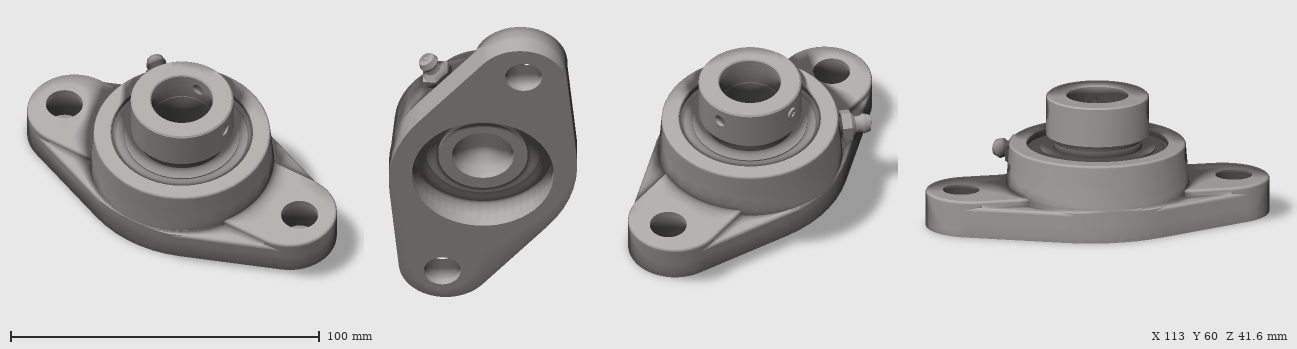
import cadquery as cq
import math

flange_length = 113.0
flange_width = 60.0
bolt_spacing = 90.0
bolt_hole_diameter = 12.0
plate_height = 10.0
pad_height = 12.0
end_radius = 15.3
side_radius = 42.0
plate_edge_fillet = 1.0
pad_edge_fillet = 0.9
pad_foot_fillet = 1.05

hub_height = 25.5
hub_foot_radius = 29.97
hub_top_radius = 28.6
hub_foot_fillet = 0.9
hub_edge_fillet = 0.8
hub_bore_diameter = 45.97
hub_bore_chamfer = 0.3

bearing_center_height = 17.5
seat_diameter = 48.0
outer_ring_half_width = 5.5
seal_outer_diameter = 43.6
seal_crown_diameter = 42.4
seal_height = 1.8
seal_rise = 0.4
inner_ring_flange_diameter = 37.21
inner_ring_flange_half_width = 6.35
inner_ring_flange_slope = 0.3
shoulder_diameter = 28.96
shoulder_half_width = 8.65
neck_diameter = 27.94
spigot_diameter = 25.91
shaft_diameter = 20.0
spigot_chamfer = 0.3

collar_diameter = 33.3
collar_bottom = 28.05
collar_top = 41.61
collar_chamfer = 0.5
collar_bore_chamfer = 0.4
spigot_top = 31.7
screw_height = 36.6
screw_diameter = 4.13
screw_inner_end = 14.0
screw_outer_end = 17.35
socket_width = 1.6
socket_depth = 1.5
drift_hole_diameter = 4.13
drift_hole_depth = 3.0

nipple_angle = 135.0
stem_diameter = 6.0
stem_inner_end = 26.0
hex_inner_end = 29.87
hex_outer_end = 33.0
hex_width = 9.0
cone_base_diameter = 8.6
cone_tip_diameter = 5.5
cone_end = 34.4
neck_start = 35.0
nipple_neck_diameter = 5.3
neck_end = 36.0
head_diameter = 6.6
head_widest = 37.3
tip_diameter = 5.3
tip_end = 39.3
ball_diameter = 2.01
ball_protrusion = 0.6


def revolved(points):
    """Solid of revolution about Z from an outline of (radius, height) points."""
    return cq.Workplane("XZ").polyline(points).close().revolve(360, (0, 0), (0, 1))


def cylinder(diameter, bottom, top):
    return cq.Workplane("XY").workplane(offset=bottom).circle(diameter / 2).extrude(top - bottom)


def radial(shape, angle, height):
    """Lay a shape built along Z out along a horizontal radius at the given angle."""
    lying = shape.rotate((0, 0, 0), (0, 1, 0), 90)
    return lying.rotate((0, 0, 0), (0, 0, 1), angle).translate((0, 0, height))


def seat_ball():
    return cq.Workplane("XY").sphere(seat_diameter / 2).translate((0, 0, bearing_center_height))


def flange_column(height):
    """Rhombic outline: two large side arcs joined to two end arcs by tangent lines."""
    end_center = flange_length / 2 - end_radius
    side_center = side_radius - flange_width / 2
    tilt = math.asin((side_radius - end_radius) / math.hypot(end_center, side_center))
    tilt -= math.atan2(side_center, end_center)
    side_x = side_radius * math.sin(tilt)
    side_y = side_radius * math.cos(tilt) - side_center
    end_x = end_center + end_radius * math.sin(tilt)
    end_y = end_radius * math.cos(tilt)
    outline = (
        cq.Workplane("XY")
        .moveTo(-side_x, side_y)
        .threePointArc((0, flange_width / 2), (side_x, side_y))
        .lineTo(end_x, end_y)
        .threePointArc((flange_length / 2, 0), (end_x, -end_y))
        .lineTo(side_x, -side_y)
        .threePointArc((0, -flange_width / 2), (-side_x, -side_y))
        .lineTo(-end_x, -end_y)
        .threePointArc((-flange_length / 2, 0), (-end_x, end_y))
        .close()
    )
    return outline.extrude(height)


def flange_plate():
    return flange_column(plate_height).faces(">Z").edges().fillet(plate_edge_fillet)


def raised_pad():
    """Straight-sided pad whose round ends coincide with the ends of the plate."""
    pad = cq.Workplane("XY").slot2D(flange_length, 2 * end_radius).extrude(pad_height)
    return pad.faces(">Z").edges().fillet(pad_edge_fillet)


def pad_foot():
    """Concave fillets that run along both straight sides of the pad."""
    foot_y = end_radius + pad_foot_fillet
    foot_z = plate_height + pad_foot_fillet
    arc_offset = pad_foot_fillet * (1 - math.sqrt(0.5))
    straight_length = flange_length - 2 * end_radius
    section = (
        cq.Workplane("YZ")
        .moveTo(0, plate_height)
        .lineTo(foot_y, plate_height)
        .threePointArc((end_radius + arc_offset, plate_height + arc_offset), (end_radius, foot_z))
        .lineTo(0, foot_z)
        .close()
    )
    foot = section.extrude(straight_length / 2, both=True)
    return foot.union(foot.mirror("XZ"))


def hub():
    cone = revolved([
        (0, 0),
        (hub_foot_radius, 0),
        (hub_foot_radius, plate_height),
        (hub_top_radius, hub_height),
        (0, hub_height),
    ])
    return cone.faces(">Z").edges().fillet(hub_edge_fillet)


def hub_foot():
    """Concave foot around the -Y half of the hub, trimmed to the flange outline."""
    inner_radius = hub_bore_diameter / 2
    outer_radius = hub_foot_radius + hub_foot_fillet
    foot_z = plate_height + hub_foot_fillet
    arc_offset = hub_foot_fillet * (1 - math.sqrt(0.5))
    profile = (
        cq.Workplane("XZ")
        .moveTo(inner_radius, 0)
        .lineTo(outer_radius, 0)
        .lineTo(outer_radius, plate_height)
        .threePointArc((hub_foot_radius + arc_offset, plate_height + arc_offset), (hub_foot_radius, foot_z))
        .lineTo(inner_radius, foot_z)
        .close()
    )
    front_half = cq.Workplane("XY").rect(flange_length, flange_width).extrude(foot_z)
    front_half = front_half.translate((0, -flange_width / 2, 0))
    foot = profile.revolve(360, (0, 0), (0, 1))
    return foot.intersect(front_half).intersect(flange_column(foot_z))


def make_housing():
    body = flange_plate()
    body = body.union(raised_pad()).union(pad_foot()).union(hub()).union(hub_foot())
    body = body.cut(cylinder(hub_bore_diameter, 0, hub_height))
    bore_edge = body.faces(">Z").edges(cq.selectors.RadiusNthSelector(0))
    body = bore_edge.chamfer(hub_bore_chamfer)
    body = body.cut(seat_ball())
    body = body.cut(radial(cylinder(stem_diameter, stem_inner_end, hex_outer_end),
                           nipple_angle, bearing_center_height))
    bolt_holes = (
        cq.Workplane("XY")
        .pushPoints([(-bolt_spacing / 2, 0), (bolt_spacing / 2, 0)])
        .circle(bolt_hole_diameter / 2)
        .extrude(pad_height)
    )
    return body.cut(bolt_holes)


outer_ring_bottom = bearing_center_height - outer_ring_half_width
outer_ring_top = bearing_center_height + outer_ring_half_width


def make_outer_ring():
    ring = seat_ball().intersect(cylinder(seat_diameter, outer_ring_bottom, outer_ring_top))
    ring = ring.cut(cylinder(inner_ring_flange_diameter, outer_ring_bottom, outer_ring_top))
    return ring.cut(cylinder(seal_outer_diameter, outer_ring_top - seal_height, outer_ring_top))


def make_seal():
    return revolved([
        (inner_ring_flange_diameter / 2, outer_ring_top - seal_height),
        (seal_outer_diameter / 2, outer_ring_top - seal_height),
        (seal_outer_diameter / 2, outer_ring_top),
        (seal_crown_diameter / 2, outer_ring_top + seal_rise),
        (inner_ring_flange_diameter / 2, outer_ring_top + seal_rise),
    ])


def make_inner_ring():
    shoulder_bottom = bearing_center_height - shoulder_half_width
    shoulder_top = bearing_center_height + shoulder_half_width
    flange_bottom = bearing_center_height - inner_ring_flange_half_width
    flange_top = bearing_center_height + inner_ring_flange_half_width
    bore = shaft_diameter / 2
    return revolved([
        (bore, shoulder_bottom),
        (shoulder_diameter / 2, shoulder_bottom),
        (shoulder_diameter / 2, flange_bottom - inner_ring_flange_slope),
        (inner_ring_flange_diameter / 2, flange_bottom),
        (inner_ring_flange_diameter / 2, flange_top),
        (shoulder_diameter / 2, flange_top + inner_ring_flange_slope),
        (shoulder_diameter / 2, shoulder_top),
        (neck_diameter / 2, shoulder_top),
        (neck_diameter / 2, collar_bottom),
        (spigot_diameter / 2, collar_bottom),
        (spigot_diameter / 2, spigot_top),
        (bore + spigot_chamfer, spigot_top),
        (bore, spigot_top - spigot_chamfer),
    ])


def make_collar():
    collar = cylinder(collar_diameter, collar_bottom, collar_top).edges().chamfer(collar_chamfer)
    collar = collar.cut(cylinder(shaft_diameter, collar_bottom, collar_top))
    bore_edge = collar.faces(">Z").edges(cq.selectors.RadiusNthSelector(0))
    collar = bore_edge.chamfer(collar_bore_chamfer)
    collar = collar.cut(cylinder(spigot_diameter, collar_bottom, spigot_top))
    collar = collar.cut(radial(cylinder(screw_diameter, 0, collar_diameter), 90, screw_height))
    drift_hole_bottom = collar_diameter / 2 - drift_hole_depth
    drift_hole = cylinder(drift_hole_diameter, drift_hole_bottom, collar_diameter)
    return collar.cut(radial(drift_hole, 0, screw_height))


def make_set_screw():
    screw = cylinder(screw_diameter, screw_inner_end, screw_outer_end)
    socket = (
        cq.Workplane("XY")
        .workplane(offset=screw_outer_end - socket_depth)
        .polygon(6, socket_width, circumscribed=True)
        .extrude(socket_depth)
    )
    return radial(screw.cut(socket), 90, screw_height)


ball_center = tip_end + ball_protrusion - ball_diameter / 2


def nipple_ball():
    return cq.Workplane("XY").sphere(ball_diameter / 2).translate((0, 0, ball_center))


def make_nipple():
    turned = revolved([
        (0, stem_inner_end),
        (stem_diameter / 2, stem_inner_end),
        (stem_diameter / 2, hex_outer_end),
        (cone_base_diameter / 2, hex_outer_end),
        (cone_tip_diameter / 2, cone_end),
        (nipple_neck_diameter / 2, neck_start),
        (nipple_neck_diameter / 2, neck_end),
        (head_diameter / 2, head_widest),
        (tip_diameter / 2, tip_end),
        (0, tip_end),
    ])
    hexagon = (
        cq.Workplane("XY")
        .workplane(offset=hex_inner_end)
        .transformed(rotate=(0, 0, 30))
        .polygon(6, hex_width, circumscribed=True)
        .extrude(hex_outer_end - hex_inner_end)
    )
    nipple = turned.union(hexagon).cut(nipple_ball())
    return radial(nipple, nipple_angle, bearing_center_height)


def make_ball():
    return radial(nipple_ball(), nipple_angle, bearing_center_height)


housing = make_housing()
outer_ring = make_outer_ring()
seal = make_seal()
inner_ring = make_inner_ring()
collar = make_collar()
set_screw = make_set_screw()
nipple = make_nipple()
ball = make_ball()

result = cq.Compound.makeCompound([
    housing.val(),
    outer_ring.val(),
    seal.val(),
    inner_ring.val(),
    collar.val(),
    set_screw.val(),
    nipple.val(),
    ball.val(),
])